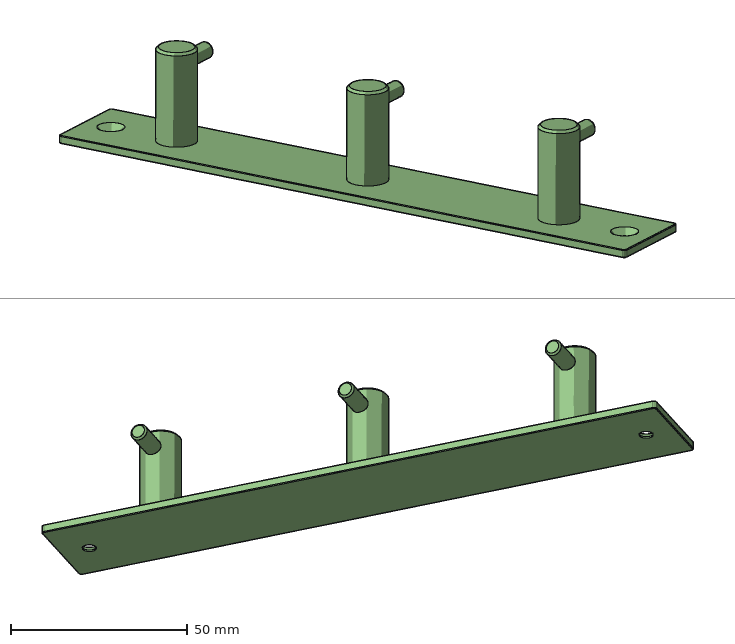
import cadquery as cq

PLATE_LENGTH = 190.0
PLATE_WIDTH = 28.0
PLATE_THICKNESS = 2.5
PLATE_CORNER_RADIUS = 1.0
PLATE_EDGE_CHAMFER = 0.25

HOLE_OFFSET = 86.0
HOLE_DIAMETER = 4.0
COUNTERSINK_DIAMETER = 8.0
COUNTERSINK_ANGLE = 90.0

OVERALL_HEIGHT = 30.5
POST_COUNT = 3
POST_SPACING = 64.0
POST_DIAMETER = 12.0
POST_CHAMFER = 0.8
POST_HEIGHT = OVERALL_HEIGHT - PLATE_THICKNESS

OVERALL_DEPTH = 30.0
PEG_DIAMETER = 5.0
PEG_CHAMFER = 0.5
PEG_AXIS_BELOW_TOP = 5.5
PEG_SOCKET_DEPTH = 3.0
PEG_AXIS_Z = OVERALL_HEIGHT - PEG_AXIS_BELOW_TOP
PEG_INNER_Y = POST_DIAMETER / 2 - PEG_SOCKET_DEPTH
PEG_TIP_Y = OVERALL_DEPTH - PLATE_WIDTH / 2
PEG_LENGTH = PEG_TIP_Y - PEG_INNER_Y


def make_plate():
    """Flat bar with rounded corners, broken edges and two countersunk through holes."""
    return (
        cq.Workplane("XY")
        .box(PLATE_LENGTH, PLATE_WIDTH, PLATE_THICKNESS, centered=(True, True, False))
        .edges("|Z")
        .fillet(PLATE_CORNER_RADIUS)
        .faces("<Z or >Z")
        .edges()
        .chamfer(PLATE_EDGE_CHAMFER)
        .faces(">Z")
        .workplane()
        .pushPoints([(-HOLE_OFFSET, 0), (HOLE_OFFSET, 0)])
        .cskHole(HOLE_DIAMETER, COUNTERSINK_DIAMETER, COUNTERSINK_ANGLE)
    )


def peg_cylinder(x):
    """Plain cylinder along +Y: the space a peg takes up, before its tip is chamfered."""
    return (
        cq.Workplane("XZ", origin=(x, PEG_INNER_Y, PEG_AXIS_Z))
        .circle(PEG_DIAMETER / 2)
        .extrude(-PEG_LENGTH)
    )


def make_peg(x):
    """Round peg with a chamfered tip."""
    return peg_cylinder(x).faces(">Y").edges().chamfer(PEG_CHAMFER)


def make_post(x):
    """Round post with a chamfered top and a blind socket for its peg."""
    post = (
        cq.Workplane("XY", origin=(x, 0, PLATE_THICKNESS))
        .circle(POST_DIAMETER / 2)
        .extrude(POST_HEIGHT)
        .faces(">Z")
        .edges()
        .chamfer(POST_CHAMFER)
    )
    return post.cut(peg_cylinder(x))


plate = make_plate().solids()
posts = []
pegs = []
for index in range(POST_COUNT):
    post_x = (index - (POST_COUNT - 1) / 2) * POST_SPACING
    posts.append(make_post(post_x).solids().val())
    pegs.append(make_peg(post_x).solids().val())

result = cq.Compound.makeCompound([plate.val(), *posts, *pegs])